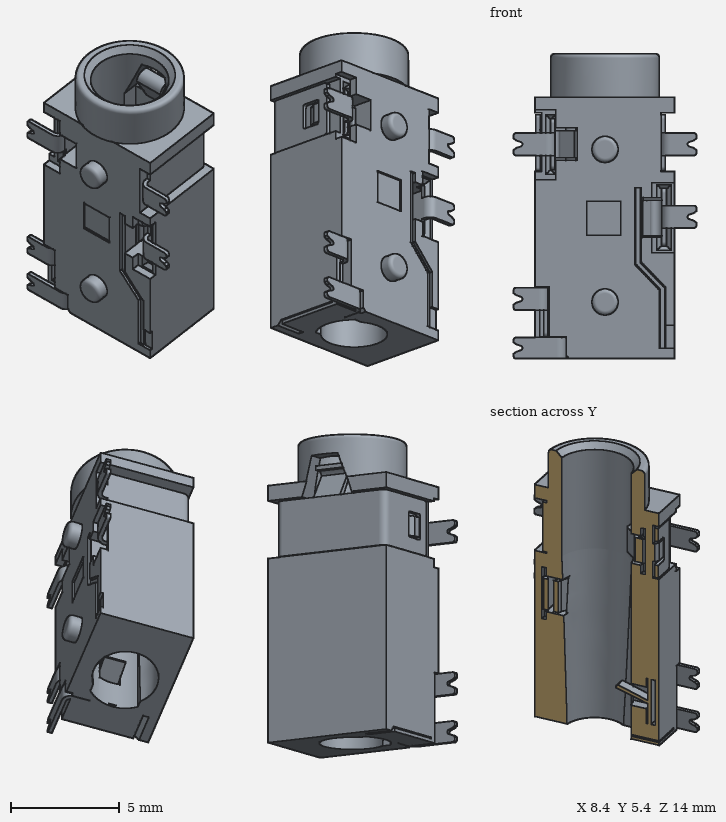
import cadquery as cq
import math

overall_width = 8.4
overall_depth = 5.4
overall_height = 14.0

body_left = -3.22
body_right = 3.19
body_front = -2.3
body_back = 2.21
body_top = 12.0

collar_radius = 5.0 / 2
collar_fillet = 0.2
bore_radius = 1.79
bore_end_radius = 1.53
lead_in = 0.3
relief_radius = 1.78
relief_front = -1.27
relief_back = 1.09

peg_radius = 0.6
peg_fillet = 0.2
peg_tip = collar_radius - overall_depth
peg_low = 2.6
peg_pitch = 7.0

panel_left = -0.83
panel_size = 1.55
panel_bottom = 5.67
panel_depth = 0.1

sheet = 0.2
bend_radius = 0.4
solder_front = -2.34
tab_width = 1.04
low_tab_width = 0.98
plate_front = -1.79
plate_corner = 0.2

tip_corner = 0.13
fork_half_mouth = 0.27
fork_half_waist = 0.17
fork_half_throat = 0.1
fork_waist = 0.13
fork_throat = 0.34
fork_depth = 0.4

clip_bottom = 8.62
clip_top = 11.2
clip_left = -3.18
clip_right_inner = 2.58
clip_left_leg_front = -1.32
clip_bend = 0.35
clip_leg_corner = 0.14
clip_notch_bottom = 8.6
clip_notch_top = 11.28
clip_notch_left = -2.91
upper_tab_bottom = 9.32

leg_window = (-0.8, 0.2, 9.3, 10.5)
latch_y = (-0.8, -0.42, -0.04)
latch_z = (9.44, 10.36)
latch_rise = 0.21
leg_window_corner = 0.13

back_window_top = 13.12
back_window_half_top = 0.7
back_window_half_bottom = 1.35
leaf_half_width = 0.71
leaf_tip = 12.7
leaf_crest_y = 1.33

left_plate_inner = -2.3
left_plate_z = (8.68, 11.0)
left_crest_x = -1.18
left_pocket_z = (8.2, 11.42)
left_pocket_inner = -2.25
left_funnel_z = (8.45, 11.2)
left_funnel_x = (-2.72, -2.27)
left_leaf_window = (-2.28, -1.27, 9.1, 10.6)
left_leaf_z = (9.21, 10.47)

right_plate_inner = 2.6
right_plate_z = (5.17, 7.81)
right_crest_x = 1.51
right_tab_bottom = 5.99
right_pocket_z = (4.87, 8.08)
right_pocket_inner = 2.14
right_funnel_z = (4.97, 8.0)
right_funnel_x = (2.38, 3.04)
right_leaf_window = (1.65, 2.6, 5.57, 7.39)
right_leaf_z = (5.64, 7.27)

hairpin_start = -0.42
left_hairpin_width = 0.42
right_hairpin_width = 0.7
crest_y = -1.01
lip_reach = 0.03
lip_length = 0.21
spring_room_back = 0.08

pocket_depth = 0.38
funnel_depth = 0.2
funnel_angle = 45

low_pocket_depth = 0.31
low_pocket_inner = -2.56
low_pocket_top = 3.3
low_plate_inner = -2.62
low_tab_bottom = 2.23
low_slot_outer = -3.0
low_slot_back = 0.56
end_pocket_top = 1.01
end_pocket_inner = -1.78
end_plate_inner = -1.79
end_plate_back = -1.12
end_pocket_chamfer = 0.15

tongue_y = (-0.69, 0.35)
tongue_tip = -0.98
tongue_bottom = 1.96
tongue_rise = 0.7
tongue_bevel = 0.11

bar_slot_width = 0.3
bar_upper_x = 1.51
bar_lower_x = 2.63
bar_top = 7.85
bar_crank_top = 4.38
bar_crank_bottom = 3.22
bar_bottom = 0.49
bar_slot_depth = 0.84
bar_recess = 0.1
side_recess_top = 1.54
side_recess_depth = 0.14

end_recess_y = (-1.68, 1.54)
end_recess_depth = 0.22
end_recess_inner = -1.82
end_plate_gap = 0.05


def block(x0, x1, y0, y1, z0, z1):
    """Box between two opposite corners."""
    return cq.Workplane("XY").box(x1 - x0, y1 - y0, z1 - z0, centered=False).translate((x0, y0, z0))


def make_spring(side, inner_x, crest_x, hairpin_width, z_range):
    """Hairpin leaf that turns back from a plate edge, bears on the plug at its crest and ends in a lip."""
    middle = sheet / 2
    start_x = abs(inner_x) + middle
    crest = abs(crest_x) + middle
    turn_x = start_x - hairpin_width
    half_width = hairpin_width / 2
    path = (
        cq.Workplane("XY")
        .moveTo(start_x, hairpin_start)
        .threePointArc((start_x - half_width, hairpin_start + half_width), (turn_x, hairpin_start))
        .lineTo(crest, crest_y)
        .lineTo(crest + lip_reach, crest_y - lip_length)
    )
    spring = path.offset2D(middle).extrude(z_range[1] - z_range[0])
    if side < 0:
        spring = spring.mirror("YZ")
    return spring.translate((0, 0, z_range[0]))


def mitred_strip(points, width):
    """Closed XZ outline of even width round a path whose ends run along Z."""
    half = width / 2
    slope = math.atan2(points[2][0] - points[1][0], points[1][1] - points[2][1])
    shift = half * math.tan(slope / 2)
    top, crank_top, crank_bottom, bottom = points
    left_side = [
        (top[0] - half, top[1]),
        (crank_top[0] - half, crank_top[1] - shift),
        (crank_bottom[0] - half, crank_bottom[1] - shift),
        (bottom[0] - half, bottom[1]),
    ]
    right_side = [
        (bottom[0] + half, bottom[1]),
        (crank_bottom[0] + half, crank_bottom[1] + shift),
        (crank_top[0] + half, crank_top[1] + shift),
        (top[0] + half, top[1]),
    ]
    return cq.Workplane("XZ").polyline(left_side + right_side).close()


def make_housing():
    """Block with the collar, the tapered bore and its side relief."""
    body = block(body_left, body_right, body_front, body_back, 0, body_top)
    collar = cq.Workplane("XY").workplane(offset=body_top).circle(collar_radius)
    collar = collar.extrude(overall_height - body_top).faces(">Z").edges().fillet(collar_fillet)
    bore_profile = [
        (0, 0),
        (bore_end_radius, 0),
        (bore_radius, clip_notch_bottom),
        (bore_radius, overall_height - lead_in),
        (bore_radius + lead_in, overall_height),
        (0, overall_height),
    ]
    bore = cq.Workplane("XZ").polyline(bore_profile).close().revolve(360, (0, 0, 0), (0, 1, 0))
    relief = cq.Workplane("XY").circle(relief_radius).extrude(body_top)
    relief = relief.intersect(block(-relief_radius, 0, relief_front, relief_back, 0, body_top))
    window = cq.Workplane("XZ").polyline([
        (-back_window_half_bottom, clip_notch_bottom),
        (back_window_half_bottom, clip_notch_bottom),
        (back_window_half_bottom, clip_notch_top),
        (back_window_half_top, back_window_top),
        (-back_window_half_top, back_window_top),
        (-back_window_half_bottom, clip_notch_top),
    ]).close().extrude(-collar_radius)
    return body.union(collar).cut(bore).cut(relief).cut(window)


def make_pegs():
    """Two rounded locating pegs."""
    pegs = cq.Workplane("XY")
    for height in (peg_low, peg_low + peg_pitch):
        peg = cq.Workplane("XZ", origin=(0, body_front, height)).circle(peg_radius)
        pegs = pegs.union(peg.extrude(body_front - peg_tip).faces("<Y").edges().fillet(peg_fillet))
    return pegs


def make_tab(side, inner_x, bottom, width):
    """Forked solder tab bent outward from an upright plate; side is -1 left or +1 right."""
    inner = abs(inner_x)
    tip = overall_width / 2
    back = solder_front + sheet
    bend_y = solder_front + bend_radius
    bend_x = inner + bend_radius
    outer_diagonal = bend_radius * math.sqrt(0.5)
    inner_diagonal = (bend_radius - sheet) * math.sqrt(0.5)
    section = (
        cq.Workplane("XY")
        .moveTo(tip, solder_front)
        .lineTo(bend_x, solder_front)
        .threePointArc((bend_x - outer_diagonal, bend_y - outer_diagonal), (inner, bend_y))
        .lineTo(inner, plate_front + plate_corner)
        .lineTo(inner + sheet, plate_front + plate_corner)
        .lineTo(inner + sheet, bend_y)
        .threePointArc((bend_x - inner_diagonal, bend_y - inner_diagonal), (bend_x, back))
        .lineTo(tip, back)
        .close()
    )
    tab = section.extrude(width).edges("|Y and >X").fillet(tip_corner)
    middle = width / 2
    fork = (
        cq.Workplane("XZ")
        .moveTo(tip, middle + fork_half_mouth)
        .lineTo(tip - fork_waist, middle + fork_half_waist)
        .lineTo(tip - fork_throat, middle + fork_half_throat)
        .threePointArc((tip - fork_depth, middle), (tip - fork_throat, middle - fork_half_throat))
        .lineTo(tip - fork_waist, middle - fork_half_waist)
        .lineTo(tip, middle - fork_half_mouth)
        .close()
        .extrude(-solder_front + bend_radius)
    )
    tab = tab.cut(fork)
    if side < 0:
        tab = tab.mirror("YZ")
    return tab.translate((0, 0, bottom))


def make_plate(side, inner_x, back, z_range):
    """Upright contact plate with rounded front corners."""
    x_range = sorted((inner_x, inner_x + side * sheet))
    plate = block(*x_range, plate_front, back, *z_range)
    return plate.edges("|X and <Y").fillet(plate_corner)


def make_funnel(x_range, z_range):
    """Tapered mouth leading from a pocket floor into a plate slot."""
    x0, x1 = x_range
    z0, z1 = z_range
    mouth = cq.Workplane("XZ", origin=((x0 + x1) / 2, body_front + pocket_depth, (z0 + z1) / 2))
    mouth = mouth.rect(x1 - x0, z1 - z0)
    return mouth.extrude(-funnel_depth, taper=funnel_angle)


def cut_clip_seat(part):
    """Side notches and the back recess that the clip lies in."""
    z_range = (clip_notch_bottom, clip_notch_top)
    left = block(body_left, clip_notch_left, body_front, body_back, *z_range)
    right = block(clip_right_inner, body_right, body_front, body_back, *z_range)
    back = block(body_left, body_right, body_back - sheet, body_back, *z_range)
    return part.cut(left).cut(right).cut(back)


def make_latch():
    """Latch on the left notch floor, ramped on the side the clip slides over."""
    catch, ramp_top, ramp_foot = latch_y
    top = clip_notch_left - latch_rise
    z0, z1 = latch_z
    profile = [(clip_notch_left, catch), (top, catch), (top, ramp_top), (clip_notch_left, ramp_foot)]
    return cq.Workplane("XY", origin=(0, 0, z0)).polyline(profile).close().extrude(z1 - z0)


def make_clip():
    """U-shaped clip with a windowed left leg, a soldered right leg and a spring leaf."""
    height = clip_top - clip_bottom
    right_outer = clip_right_inner + sheet
    wrap = block(clip_left, right_outer, plate_front, body_back, clip_bottom, clip_top)
    wrap = wrap.edges("|Z and >Y").fillet(clip_bend)
    inside = block(clip_left + sheet, clip_right_inner, plate_front, body_back - sheet, clip_bottom, clip_top)
    wrap = wrap.cut(inside.edges("|Z and >Y").fillet(clip_bend - sheet))
    wrap = wrap.cut(block(clip_left, 0, plate_front, clip_left_leg_front, clip_bottom, clip_top))
    wrap = wrap.edges("|X and <Y").fillet(plate_corner)
    wrap = wrap.edges(cq.selectors.BoxSelector(
        (clip_left - sheet, clip_left_leg_front - sheet, clip_bottom - sheet),
        (0, clip_left_leg_front + sheet, clip_top + sheet),
    )).edges("|X").fillet(clip_leg_corner)
    opening = block(clip_left, clip_left + sheet, *leg_window)
    wrap = wrap.cut(opening.edges("|X").fillet(leg_window_corner))
    leaf = (
        cq.Workplane("YZ")
        .moveTo(body_back, clip_top - height / 4)
        .lineTo(body_back, clip_top)
        .lineTo(leaf_crest_y + sheet, leaf_tip - 2 * sheet)
        .threePointArc(
            (leaf_crest_y + 1.4 * sheet, leaf_tip - 1.4 * sheet),
            (leaf_crest_y + 2 * sheet, leaf_tip - sheet),
        )
        .lineTo(body_back - sheet, leaf_tip - sheet)
        .lineTo(body_back - sheet, leaf_tip)
        .lineTo(leaf_crest_y + 2 * sheet, leaf_tip)
        .threePointArc(
            (leaf_crest_y + 0.6 * sheet, leaf_tip - 0.6 * sheet),
            (leaf_crest_y, leaf_tip - 2 * sheet),
        )
        .lineTo(body_back - sheet, clip_top - sheet)
        .lineTo(body_back - sheet, clip_top - height / 4)
        .close()
        .extrude(leaf_half_width, both=True)
    )
    return wrap.union(leaf).union(make_tab(1, clip_right_inner, upper_tab_bottom, tab_width))


def cut_left_contact_seat(part):
    """Pocket, slot and leaf room of the upper left contact."""
    floor = body_front + pocket_depth
    slot = block(left_plate_inner - sheet, left_plate_inner, floor, spring_room_back, *left_plate_z)
    pocket = block(body_left, left_pocket_inner, body_front, floor, *left_pocket_z)
    x0, x1, z0, z1 = left_leaf_window
    leaf_room = block(x0, x1, body_front, spring_room_back, z0, z1)
    part = part.cut(pocket).cut(make_funnel(left_funnel_x, left_funnel_z))
    return part.cut(slot).cut(leaf_room)


def make_left_contact():
    """Upper left contact with its hairpin spring."""
    plate = make_plate(-1, left_plate_inner, hairpin_start, left_plate_z)
    leaf = make_spring(-1, left_plate_inner, left_crest_x, left_hairpin_width, left_leaf_z)
    return plate.union(leaf).union(make_tab(-1, left_plate_inner, upper_tab_bottom, tab_width))


def cut_right_contact_seat(part):
    """Pocket, slot and leaf room of the middle right contact."""
    floor = body_front + pocket_depth
    outer = right_plate_inner + sheet
    slot = block(right_plate_inner, outer, floor, spring_room_back, *right_plate_z)
    pocket = block(right_pocket_inner, body_right, body_front, floor, *right_pocket_z)
    x0, x1, z0, z1 = right_leaf_window
    leaf_room = block(x0, x1, body_front, spring_room_back, z0, z1)
    part = part.cut(pocket).cut(make_funnel(right_funnel_x, right_funnel_z))
    return part.cut(slot).cut(leaf_room)


def make_right_contact():
    """Middle right contact with its hairpin spring."""
    plate = make_plate(1, right_plate_inner, hairpin_start, right_plate_z)
    leaf = make_spring(1, right_plate_inner, right_crest_x, right_hairpin_width, right_leaf_z)
    return plate.union(leaf).union(make_tab(1, right_plate_inner, right_tab_bottom, tab_width))


def cut_lower_contact_seats(part):
    """Stepped pocket and slots of the two lower left contacts."""
    floor = body_front + low_pocket_depth
    upper = block(body_left, low_pocket_inner, body_front, floor, 0, low_pocket_top)
    lower = block(body_left, end_pocket_inner, body_front, floor, 0, end_pocket_top)
    end_slot = block(end_plate_inner - sheet, end_pocket_inner, body_front, end_plate_back, 0, end_pocket_top)
    slot = block(low_slot_outer, low_pocket_inner, body_front, low_slot_back, end_pocket_top, low_pocket_top)
    corner = cq.Workplane("XZ", origin=(0, body_front, 0)).polyline([
        (end_pocket_inner, 0),
        (end_pocket_inner + end_pocket_chamfer, 0),
        (end_pocket_inner, end_pocket_chamfer),
    ]).close().extrude(-low_pocket_depth)
    tongue_top = tongue_bottom + tongue_rise
    passage = block(low_pocket_inner, 0, *tongue_y, tongue_bottom - sheet, tongue_top + sheet)
    return part.cut(upper).cut(lower).cut(slot).cut(end_slot).cut(corner).cut(passage)


def make_lower_contacts():
    """Two lower left contacts, the upper one with a tongue into the bore."""
    low_plate = make_plate(-1, low_plate_inner, low_slot_back, (end_pocket_top, low_pocket_top))
    low_tab = make_tab(-1, low_plate_inner, low_tab_bottom, tab_width)
    tongue = cq.Workplane("XZ", origin=(0, tongue_y[0], 0)).polyline([
        (low_plate_inner - sheet, tongue_bottom),
        (tongue_tip, tongue_bottom + tongue_rise - sheet),
        (tongue_tip, tongue_bottom + tongue_rise - tongue_bevel),
        (tongue_tip - tongue_bevel, tongue_bottom + tongue_rise),
        (low_plate_inner - sheet, tongue_bottom + sheet),
    ]).close().extrude(tongue_y[0] - tongue_y[1])
    end_plate = block(end_plate_inner - sheet, end_plate_inner, plate_front, end_plate_back, 0, low_tab_width)
    end_tab = make_tab(-1, end_plate_inner, 0, low_tab_width)
    return low_plate.union(low_tab).union(tongue).union(end_plate).union(end_tab)


def cut_bar_slot(part):
    """Cranked slot holding a slightly sunken bar, with a side recess at its foot."""
    path = [
        (bar_upper_x, bar_top),
        (bar_upper_x, bar_crank_top),
        (bar_lower_x, bar_crank_bottom),
        (bar_lower_x, bar_bottom),
    ]
    slot = mitred_strip(path, bar_slot_width).extrude(-bar_slot_depth).translate((0, body_front, 0))
    bar = mitred_strip(path, sheet).extrude(bar_recess - bar_slot_depth)
    bar = bar.translate((0, body_front + bar_recess, 0))
    recess_floor = body_front + side_recess_depth
    recess = block(bar_lower_x, body_right, body_front, recess_floor, bar_bottom, side_recess_top)
    return part.cut(recess).cut(slot).union(bar)


def cut_end_recess(part):
    """Shallow recess in the lower end with a plate lying in it."""
    y0, y1 = end_recess_y
    recess = cq.Workplane("YZ", origin=(body_left, 0, 0)).polyline([
        (y0, 0),
        (y1 + end_recess_depth, 0),
        (y1, end_recess_depth),
        (y0, end_recess_depth),
    ]).close().extrude(end_recess_inner - body_left)
    plate = block(
        body_left, end_recess_inner, y0, y1 - end_plate_gap, 0, end_recess_depth - end_plate_gap
    )
    return part.cut(recess).union(plate)


def cut_panel(part):
    """Shallow square marking panel on the front face."""
    return part.cut(block(
        panel_left, panel_left + panel_size,
        body_front, body_front + panel_depth,
        panel_bottom, panel_bottom + panel_size,
    ))


housing = make_housing()
housing = cut_clip_seat(housing)
housing = cut_left_contact_seat(housing)
housing = cut_right_contact_seat(housing)
housing = cut_lower_contact_seats(housing)
housing = cut_bar_slot(housing)
housing = cut_end_recess(housing)
housing = cut_panel(housing)

result = housing.union(make_pegs()).union(make_latch()).union(make_clip())
result = result.union(make_left_contact()).union(make_right_contact()).union(make_lower_contacts())